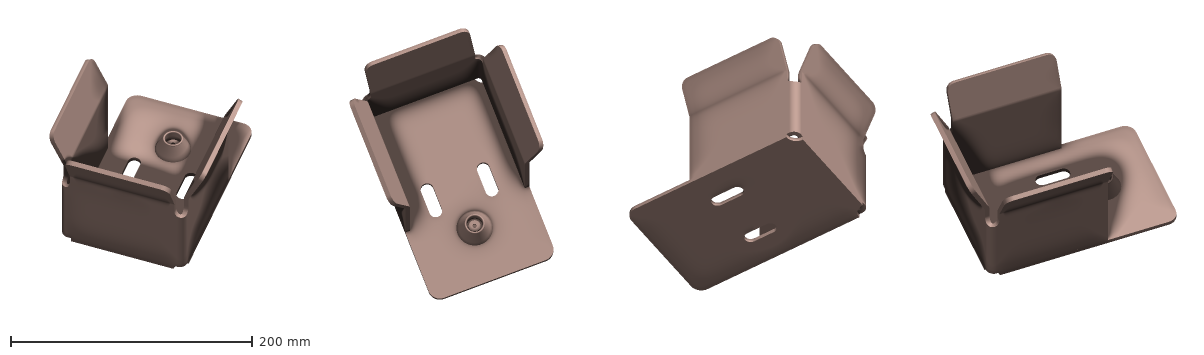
import cadquery as cq
import math


overall_length = 184.2
overall_height = 111.6
sheet_thickness = 4.0
inner_bend_radius = 3.0
outer_bend_radius = inner_bend_radius + sheet_thickness

base_length = 170.0
base_width = 110.1
base_thickness = 3.7
base_corner_radius = 10.0
front_notch_radius = 10.0
slot_length = 30.4
slot_width = 10.9
slot_spacing = 50.0
slot_center_y = 88.0

side_wall_length = 106.1
front_flange_inset = 8.8
side_flange_inset = 9.4
flange_corner_radius = 7.5
flare_angle = 25.0
flare_reach = overall_length - base_length

bumper_center_y = 123.0
bumper_height = 13.3
bumper_base_radius = 15.1
bumper_rim_radius = 8.5
bumper_bore_radius = 6.8
bumper_floor_thickness = 4.0
washer_radius = 5.0
washer_hole_radius = 1.7
washer_thickness = 2.0

flare_sin = math.sin(math.radians(flare_angle))
flare_cos = math.cos(math.radians(flare_angle))
flange_length = (flare_reach - inner_bend_radius * (1 - flare_cos)) / flare_sin
flare_start_z = overall_height - outer_bend_radius * flare_sin - flange_length * flare_cos

relief_radius = 6.5
relief_center_z = 70.4
front_relief_flat = front_flange_inset - outer_bend_radius
side_relief_flat = side_flange_inset - outer_bend_radius


def make_base():
    base = (
        cq.Workplane("XY")
        .rect(base_width, base_length)
        .extrude(base_thickness)
        .translate((0, base_length / 2, 0))
        .edges("|Z and >Y")
        .fillet(base_corner_radius)
    )
    front_notches = (
        cq.Workplane("XY")
        .pushPoints([(-base_width / 2, 0), (base_width / 2, 0)])
        .circle(front_notch_radius)
        .extrude(base_thickness)
    )
    slots = (
        cq.Workplane("XY")
        .pushPoints([(-slot_spacing / 2, slot_center_y), (slot_spacing / 2, slot_center_y)])
        .slot2D(slot_length, slot_width, 90)
        .extrude(base_thickness)
    )
    return base.cut(front_notches).cut(slots)


def make_flared_panel(width):
    """Upright panel with a flared top, outer face on Y = 0, flaring toward -Y, centred on X."""
    bend_angle = math.radians(flare_angle)

    def bend_point(radius, angle):
        return (
            -inner_bend_radius + radius * math.cos(angle),
            flare_start_z + radius * math.sin(angle),
        )

    inner_end = bend_point(outer_bend_radius, bend_angle)
    outer_end = bend_point(inner_bend_radius, bend_angle)
    rise = (-flange_length * flare_sin, flange_length * flare_cos)
    panel = (
        cq.Workplane("YZ")
        .moveTo(0, base_thickness)
        .lineTo(sheet_thickness, base_thickness)
        .lineTo(sheet_thickness, flare_start_z)
        .threePointArc(bend_point(outer_bend_radius, bend_angle / 2), inner_end)
        .lineTo(inner_end[0] + rise[0], inner_end[1] + rise[1])
        .lineTo(outer_end[0] + rise[0], outer_end[1] + rise[1])
        .lineTo(*outer_end)
        .threePointArc(bend_point(inner_bend_radius, bend_angle / 2), (0, flare_start_z))
        .close()
        .extrude(width / 2, both=True)
    )
    tip_edges = cq.selectors.BoxSelector(
        (-width, -2 * flare_reach, overall_height - sheet_thickness),
        (width, 0, overall_height + sheet_thickness),
    )
    return panel.edges(tip_edges).edges("not |X").fillet(flange_corner_radius)


def make_lower_wall():
    """Lower wall: a U-shaped strip with rounded front corners, up to the relief centre."""
    outer = (
        cq.Workplane("XY")
        .workplane(offset=base_thickness)
        .rect(base_width, 2 * side_wall_length)
        .extrude(relief_center_z - base_thickness)
        .translate((0, side_wall_length, 0))
        .edges("|Z and <Y")
        .fillet(outer_bend_radius)
    )
    inner = (
        cq.Workplane("XY")
        .workplane(offset=base_thickness)
        .rect(base_width - 2 * sheet_thickness, 2 * side_wall_length)
        .extrude(relief_center_z - base_thickness)
        .translate((0, side_wall_length + sheet_thickness, 0))
        .edges("|Z and <Y")
        .fillet(inner_bend_radius)
    )
    behind = (
        cq.Workplane("XY")
        .box(base_width, 2 * side_wall_length, overall_height, centered=(True, False, False))
        .translate((0, side_wall_length, 0))
    )
    return outer.cut(inner).cut(behind)


def relief_end_z(distance):
    """Height of the round slot end at a distance along the sheet from the side flange."""
    return relief_center_z - math.sqrt(relief_radius**2 - (distance - relief_radius) ** 2)


def make_bend_relief():
    """Cutter for the right-hand bend; its lower face is ruled along radii of the bend."""
    bend_width = 2 * relief_radius - front_relief_flat - side_relief_flat
    bend_x = base_width / 2 - outer_bend_radius
    top_z = relief_center_z + relief_radius
    near_radius = inner_bend_radius / 2
    far_radius = outer_bend_radius + inner_bend_radius / 2
    curve_steps = 8

    def curve(radius, height_at):
        points = []
        for step in range(curve_steps + 1):
            share = step / curve_steps
            angle = share * math.pi / 2
            points.append(
                cq.Vector(
                    bend_x + radius * math.cos(angle),
                    outer_bend_radius - radius * math.sin(angle),
                    height_at(side_relief_flat + share * bend_width),
                )
            )
        return cq.Edge.makeSpline(points)

    def flat_top(distance):
        return top_z

    near_bottom = curve(near_radius, relief_end_z)
    far_bottom = curve(far_radius, relief_end_z)
    near_top = curve(near_radius, flat_top)
    far_top = curve(far_radius, flat_top)
    curved_faces = [
        cq.Face.makeRuledSurface(near_bottom, far_bottom),
        cq.Face.makeRuledSurface(near_top, far_top),
        cq.Face.makeRuledSurface(near_bottom, near_top),
        cq.Face.makeRuledSurface(far_bottom, far_top),
    ]
    end_faces = []
    for end in (0, 1):
        corners = []
        for edge in (near_bottom, far_bottom, far_top, near_top):
            corners.append(edge.positionAt(end))
        end_faces.append(cq.Face.makeFromWires(cq.Wire.makePolygon(corners, close=True)))
    return cq.Workplane(obj=cq.Solid.makeSolid(cq.Shell.makeShell(curved_faces + end_faces)))


def make_flat_relief(plane, flange_edge, flat_width, direction):
    """Cutter for the flat sheet between a flange edge and the bend.

    The plane is "XZ" for the front wall and "YZ" for a side wall; direction is the sense
    along the plane's first axis that leads from the flange edge to the bend.
    """
    slot_end = (
        cq.Workplane(plane)
        .center(flange_edge + direction * relief_radius, relief_center_z)
        .circle(relief_radius)
        .extrude(overall_length, both=True)
    )
    flat_zone = (
        cq.Workplane(plane)
        .center(flange_edge + direction * flat_width / 2, relief_center_z)
        .rect(flat_width, 2 * relief_radius)
        .extrude(overall_length, both=True)
    )
    return slot_end.intersect(flat_zone)


def make_wall():
    front_panel = make_flared_panel(base_width - 2 * front_flange_inset)
    side_flange_width = side_wall_length - side_flange_inset
    side_panel = make_flared_panel(side_flange_width).translate((0, -base_width / 2, 0))
    side_center_y = side_flange_inset + side_flange_width / 2
    wall = make_lower_wall().union(front_panel)
    for turn in (-90, 90):
        placed = side_panel.rotate((0, 0, 0), (0, 0, 1), turn).translate((0, side_center_y, 0))
        wall = wall.union(placed)
    bend_relief = make_bend_relief()
    wall = wall.cut(bend_relief).cut(bend_relief.mirror("YZ"))
    front_edge = base_width / 2 - front_flange_inset
    for side in (-1, 1):
        wall = wall.cut(make_flat_relief("XZ", side * front_edge, front_relief_flat, side))
    return wall.cut(make_flat_relief("YZ", side_flange_inset, side_relief_flat, -1))


def make_bumper():
    """Tapered ring with a rounded rim and a floor at the bottom of its bore."""
    rim_round = (bumper_rim_radius - bumper_bore_radius) / 2
    rim_start_z = bumper_height - rim_round
    rim_middle = bumper_bore_radius + rim_round
    return (
        cq.Workplane("XZ")
        .lineTo(bumper_base_radius, 0)
        .lineTo(bumper_rim_radius, rim_start_z)
        .threePointArc((rim_middle, bumper_height), (bumper_bore_radius, rim_start_z))
        .lineTo(bumper_bore_radius, bumper_floor_thickness)
        .lineTo(0, bumper_floor_thickness)
        .close()
        .revolve()
        .translate((0, bumper_center_y, base_thickness))
    )


def make_washer():
    return (
        cq.Workplane("XY")
        .circle(washer_radius)
        .circle(washer_hole_radius)
        .extrude(washer_thickness)
        .translate((0, bumper_center_y, base_thickness + bumper_floor_thickness))
    )


base = make_base()
wall = make_wall()
bumper = make_bumper()
washer = make_washer()

result = cq.Compound.makeCompound([base.val(), wall.val(), bumper.val(), washer.val()])